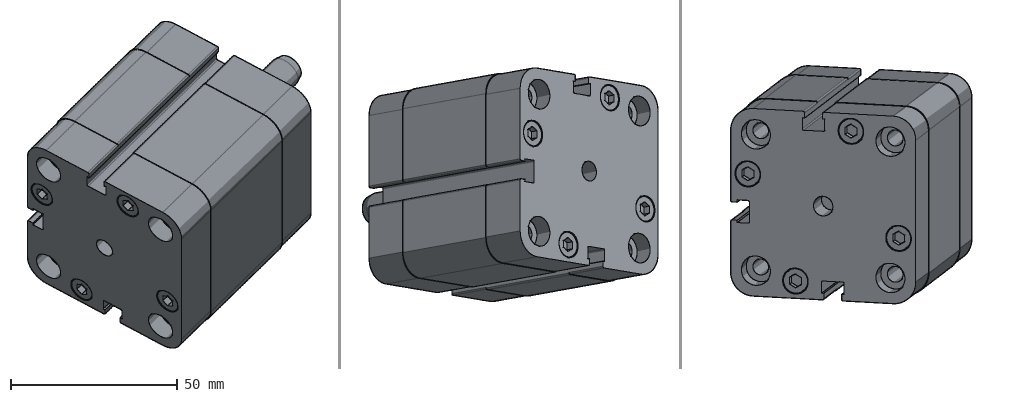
import cadquery as cq
import math


barrel_size = 58.1
cap_size = 57.7
corner_radius = 7.05
block_length = 65.6
cap_length = 14.8
barrel_length = block_length - 2 * cap_length

slot_angles = (0, -90, 180)
slot_offset = 3.0
slot_opening = 5.5
slot_inner_width = 7.0
slot_floor = 23.0
slot_lip_inside = 26.8
slot_mouth_radius = 0.5
slot_floor_radius = 0.4

mount_offset = 21.0
mount_hole_diameter = 4.9
mount_bore_diameter = 9.0
mount_bore_depth = 5.6

screw_near = 8.65
screw_far = 23.5
screw_places = [
    (screw_near, screw_far),
    (-screw_far, screw_near),
    (-screw_near, -screw_far),
    (screw_far, -screw_near),
]
screw_bore_diameter = 8.0
screw_head_diameter = 7.5
screw_bore_depth = 3.8
screw_head_recess = 0.2
socket_width = 3.7
socket_depth = 2.35

center_hole_diameter = 6.0
center_hole_depth = 9.4

total_length = 94.0
rod_diameter = 12.0
rod_length = 6.6
rod_edge_radius = 1.5
flat_width = 10.0
flat_length = 4.7
neck_diameter = 7.9
neck_length = 2.4
thread_diameter = 10.0
thread_tip_diameter = 8.6
thread_tip_length = 2.6
thread_back_chamfer = 0.4


def plane_at(y):
    """Workplane across the axis at Y = y, local x = X, local y = Z, normal = -Y."""
    return cq.Workplane("XZ", origin=(0, y, 0))


def t_slot(side, start, length):
    """T-slot in the top side (at Z = side), with a rounded mouth and rounded floor corners."""
    narrow = slot_opening / 2
    wide = slot_inner_width / 2
    mouth = narrow + slot_mouth_radius
    floor = wide - slot_floor_radius
    corner_gap = 1 - math.sqrt(0.5)
    mouth_gap = slot_mouth_radius * corner_gap
    floor_gap = slot_floor_radius * corner_gap
    return (
        plane_at(start)
        .center(-slot_offset, 0)
        .moveTo(-mouth, side)
        .threePointArc((-narrow - mouth_gap, side - mouth_gap), (-narrow, side - slot_mouth_radius))
        .lineTo(-narrow, slot_lip_inside)
        .lineTo(-wide, slot_lip_inside)
        .lineTo(-wide, slot_floor + slot_floor_radius)
        .threePointArc((-wide + floor_gap, slot_floor + floor_gap), (-floor, slot_floor))
        .lineTo(floor, slot_floor)
        .threePointArc((wide - floor_gap, slot_floor + floor_gap), (wide, slot_floor + slot_floor_radius))
        .lineTo(wide, slot_lip_inside)
        .lineTo(narrow, slot_lip_inside)
        .lineTo(narrow, side - slot_mouth_radius)
        .threePointArc((narrow + mouth_gap, side - mouth_gap), (mouth, side))
        .close()
        .extrude(-length)
    )


def slotted_bar(size, start, length):
    """Square bar from start towards +Y, with rounded corners and three T-slots."""
    bar = plane_at(start).rect(size, size).extrude(-length)
    bar = bar.edges("|Y").fillet(corner_radius)
    slot = t_slot(size / 2, start, length)
    for side_angle in slot_angles:
        bar = bar.cut(slot.rotate((0, 0, 0), (0, 1, 0), side_angle))
    return bar


def block():
    front_cap = slotted_bar(cap_size, 0, cap_length)
    barrel = slotted_bar(barrel_size, cap_length, barrel_length)
    rear_cap = slotted_bar(cap_size, cap_length + barrel_length, cap_length)
    return front_cap.union(barrel).union(rear_cap)


def mounting_holes():
    places = plane_at(0).rect(2 * mount_offset, 2 * mount_offset, forConstruction=True).vertices()
    through = places.circle(mount_hole_diameter / 2).extrude(-block_length)
    bores = places.circle(mount_bore_diameter / 2).extrude(-mount_bore_depth)
    return through.union(bores)


def screw_bores():
    places = plane_at(0).pushPoints(screw_places)
    return places.circle(screw_bore_diameter / 2).extrude(-screw_bore_depth)


def screw_heads():
    places = plane_at(screw_head_recess).pushPoints(screw_places)
    heads = places.circle(screw_head_diameter / 2).extrude(screw_head_recess - screw_bore_depth)
    sockets = places.polygon(6, socket_width, circumscribed=True).extrude(-socket_depth)
    return heads.cut(sockets)


def rod_end():
    """Rod with two wrench flats and a rounded front edge, carrying the threaded stud."""
    rod_face = block_length + rod_length
    thread_start = rod_face + neck_length
    rod = plane_at(block_length).circle(rod_diameter / 2).extrude(-rod_length)
    rod = rod.faces(">Y").edges().fillet(rod_edge_radius)
    stud_profile = [
        (0, rod_face),
        (neck_diameter / 2, rod_face),
        (neck_diameter / 2, thread_start),
        (thread_diameter / 2 - thread_back_chamfer, thread_start),
        (thread_diameter / 2, thread_start + thread_back_chamfer),
        (thread_diameter / 2, total_length - thread_tip_length),
        (thread_tip_diameter / 2, total_length),
        (0, total_length),
    ]
    stud = cq.Workplane("XY").polyline(stud_profile).close().revolve(360, (0, 0, 0), (0, 1, 0))
    flat_depth = (rod_diameter - flat_width) / 2
    flat_end = rod_face - flat_length
    flat = [
        (flat_width / 2, rod_face),
        (flat_width / 2, flat_end),
        (flat_width / 2 + flat_depth, flat_end - flat_depth),
        (flat_width / 2 + flat_depth, rod_face),
    ]
    cutter = cq.Workplane("XY").polyline(flat).close().extrude(rod_diameter / 2, both=True)
    return rod.cut(cutter).cut(cutter.mirror("YZ")).union(stud)


body = block().union(rod_end())
body = body.cut(mounting_holes())
body = body.cut(plane_at(0).circle(center_hole_diameter / 2).extrude(-center_hole_depth))
body = body.cut(screw_bores())
result = body.union(screw_heads())